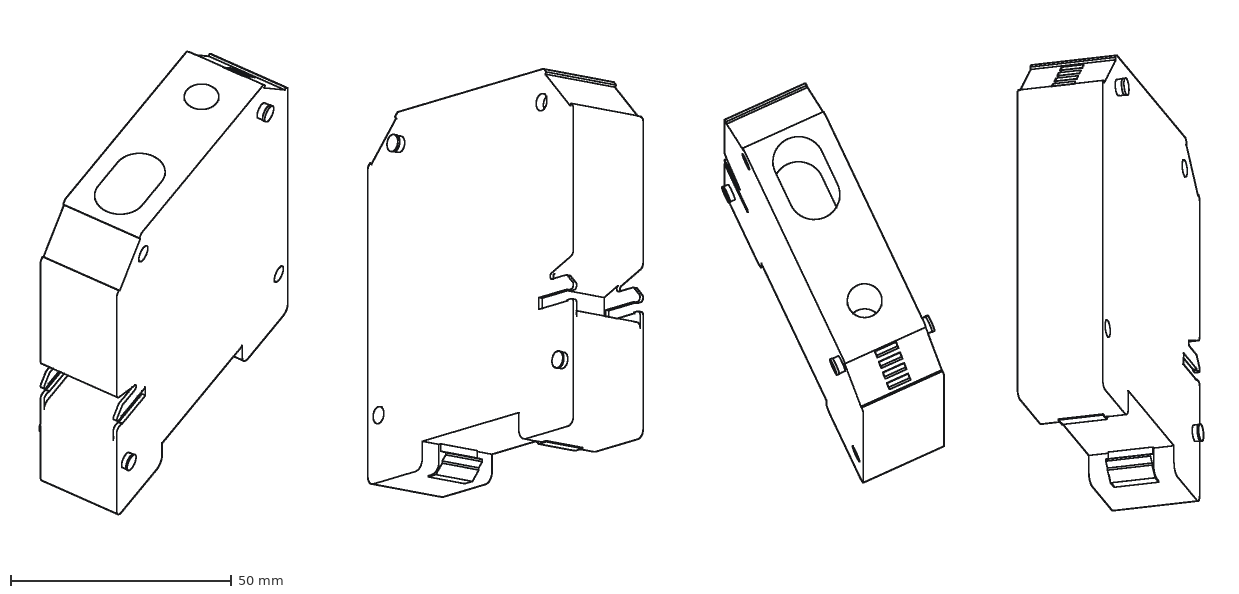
import cadquery as cq
import math

TOTAL_HEIGHT = 85.4
BLOCK_DEPTH = 75.0
BLOCK_WIDTH = 20.25
FOOT_DROP = 0.25
HALF_DEPTH = BLOCK_DEPTH / 2
HALF_WIDTH = BLOCK_WIDTH / 2

SHOULDER_LEG = 10.85
SHOULDER_TOP_ROUND = 0.7
SHOULDER_SIDE_ROUND = 1.0
PANEL_RECESS = 0.6
PANEL_TOP_LIP = 1.4
PANEL_BOTTOM_LIP = 1.2

GROOVE_COUNT = 4
GROOVE_LENGTH = 5.3
GROOVE_MOUTH = 1.8
GROOVE_DEPTH = 0.6
GROOVE_TAPER = 20
GROOVE_PITCH = 3.1
GROOVE_START = 1.0

RAIL_HALF_WIDTH = 17.6
RAIL_TOP = 6.8
RAIL_EDGE_ROUND = 2.6
BOTTOM_ROUND = 2.05

WEDGE_MOUTH_HEIGHT = 40.1
WEDGE_ANGLE = 20
WEDGE_DEPTH = 8.5
WEDGE_MOUTH_ROUND = 1.5
WEDGE_ROOT_ROUND = 0.7
FINGER_TOP = 35.7
FINGER_BEVEL = 2.4
FINGER_TIP_ROUND = 0.7
SLOT_TOP = 32.3
SLOT_BOTTOM = 29.6
SLOT_DEPTH = 12.6
SLOT_LIP = 0.25
SLOT_LIP_LENGTH = 2.2
SLOT_MOUTH_ROUND = 0.9
POCKET_WALL = 0.9
POCKET_FLOOR = 27.4
POCKET_DEPTH = 13.1
POCKET_FRONT_ROUND = 1.7

SCREW_HOLE_DIAMETER = 7.9
SCREW_HOLE_Y = 16.4
WIRE_SLOT_LENGTH = 20.1
WIRE_SLOT_WIDTH = 11.6
WIRE_SLOT_Y = -15.0
TOP_OPENING_DEPTH = 25.6

TOTAL_WIDTH = 24.4
PIN_DIAMETER = 3.9
PIN_NECK_DIAMETER = 3.8
UPPER_JOINT_Y = 25.9
UPPER_JOINT_Z = 77.75
LOWER_JOINT_Y = 33.6
LOWER_JOINT_Z = 16.0
UPPER_PIN_LENGTH = (TOTAL_WIDTH - BLOCK_WIDTH) / 2
UPPER_PIN_HEAD = 0.6
LOWER_PIN_LENGTH = 1.5
LOWER_PIN_HEAD = 0.3

FOOT_WIDTH = 10.6
FOOT_THICKNESS = 0.7
FOOT_HOOK_TOP = 5.1
FOOT_TIP_Y = 15.1
FOOT_TIP_TOP = 4.45
FOOT_TIP_BOTTOM = 3.9
FOOT_NECK_Y = 16.4
FOOT_NECK_TOP = 2.7
FOOT_NECK_BOTTOM = 2.2
FOOT_TOE_Y = 18.7
FOOT_END_Y = 21.5

EDGE_REACH = 0.04


def across_width(sketch, width):
    """Extrude a sketch on the YZ plane by a width centred on X = 0."""
    return sketch.extrude(width / 2, both=True)


def round_edges(body, y, z, radius):
    """Round the edges along X that pass through the point (y, z)."""
    low = (-BLOCK_WIDTH, y - EDGE_REACH, z - EDGE_REACH)
    high = (BLOCK_WIDTH, y + EDGE_REACH, z + EDGE_REACH)
    return body.edges("|X").edges(cq.selectors.BoxSelector(low, high)).fillet(radius)


def block():
    """Plain block with sloped shoulders and the rail slot, with rounded outer edges."""
    shoulder_y = HALF_DEPTH - SHOULDER_LEG
    shoulder_z = TOTAL_HEIGHT - SHOULDER_LEG
    half = [
        (RAIL_HALF_WIDTH, RAIL_TOP),
        (RAIL_HALF_WIDTH, FOOT_DROP),
        (HALF_DEPTH, FOOT_DROP),
        (HALF_DEPTH, shoulder_z),
        (shoulder_y, TOTAL_HEIGHT),
    ]
    other_half = [(-y, z) for y, z in reversed(half)]
    body = across_width(cq.Workplane("YZ").polyline(half + other_half).close(), BLOCK_WIDTH)
    for side in (1, -1):
        body = round_edges(body, side * RAIL_HALF_WIDTH, FOOT_DROP, RAIL_EDGE_ROUND)
        body = round_edges(body, side * HALF_DEPTH, FOOT_DROP, BOTTOM_ROUND)
        body = round_edges(body, side * HALF_DEPTH, shoulder_z, SHOULDER_SIDE_ROUND)
        body = round_edges(body, side * shoulder_y, TOTAL_HEIGHT, SHOULDER_TOP_ROUND)
    return body


def slope_plane():
    """Plane across the +Y slope: local x points out of the slope, local y up the slope."""
    return cq.Plane(
        origin=(0, HALF_DEPTH, TOTAL_HEIGHT - SHOULDER_LEG),
        xDir=(0, 1, 1),
        normal=(1, 0, 0),
    )


def panel_recess():
    """Shallow recess over the full width of the +Y slope, between the two lips."""
    slope_length = SHOULDER_LEG * math.sqrt(2)
    outline = [
        (-PANEL_RECESS, PANEL_BOTTOM_LIP),
        (PANEL_RECESS, PANEL_BOTTOM_LIP),
        (PANEL_RECESS, slope_length - PANEL_TOP_LIP),
        (-PANEL_RECESS, slope_length - PANEL_TOP_LIP),
    ]
    return across_width(cq.Workplane(slope_plane()).polyline(outline).close(), BLOCK_WIDTH)


def finger_groove(index):
    """One tapered groove in the recessed +Y slope, counted from the lower lip."""
    narrowing = GROOVE_DEPTH * math.tan(math.radians(GROOVE_TAPER))
    bottom = -PANEL_RECESS - GROOVE_DEPTH
    start = PANEL_BOTTOM_LIP + GROOVE_START + index * GROOVE_PITCH
    end = start + GROOVE_MOUTH
    outline = [
        (-PANEL_RECESS, start),
        (bottom, start + narrowing),
        (bottom, end - narrowing),
        (-PANEL_RECESS, end),
    ]
    return across_width(cq.Workplane(slope_plane()).polyline(outline).close(), GROOVE_LENGTH)


def wedge_drop(depth):
    """How far the wedge's sloping roof falls at a depth behind the -Y face."""
    return depth * math.tan(math.radians(WEDGE_ANGLE))


def wedge_cut():
    """Wedge-shaped opening above the finger, with a rounded root."""
    root_y = -HALF_DEPTH + WEDGE_DEPTH
    root_top = WEDGE_MOUTH_HEIGHT - wedge_drop(WEDGE_DEPTH)
    outline = [
        (-HALF_DEPTH, WEDGE_MOUTH_HEIGHT),
        (root_y, root_top),
        (root_y, FINGER_TOP),
        (-HALF_DEPTH + FINGER_BEVEL, FINGER_TOP),
        (-HALF_DEPTH, FINGER_TOP - FINGER_BEVEL),
    ]
    wedge = across_width(cq.Workplane("YZ").polyline(outline).close(), BLOCK_WIDTH)
    wedge = round_edges(wedge, root_y, root_top, WEDGE_ROOT_ROUND)
    return round_edges(wedge, root_y, FINGER_TOP, WEDGE_ROOT_ROUND)


def slot_cut():
    """Narrow slot below the finger, pinched by a lip above and below its mouth."""
    lip_y = -HALF_DEPTH + SLOT_LIP_LENGTH
    back_y = -HALF_DEPTH + SLOT_DEPTH
    outline = [
        (-HALF_DEPTH, SLOT_BOTTOM + SLOT_LIP),
        (lip_y, SLOT_BOTTOM + SLOT_LIP),
        (lip_y, SLOT_BOTTOM),
        (back_y, SLOT_BOTTOM),
        (back_y, SLOT_TOP),
        (lip_y, SLOT_TOP),
        (lip_y, SLOT_TOP - SLOT_LIP),
        (-HALF_DEPTH, SLOT_TOP - SLOT_LIP),
    ]
    return across_width(cq.Workplane("YZ").polyline(outline).close(), BLOCK_WIDTH)


def pocket_cut():
    """Pocket between the two thin side walls, under the wedge's continued roof."""
    back_y = -HALF_DEPTH + POCKET_DEPTH
    outline = [
        (-HALF_DEPTH, POCKET_FLOOR),
        (back_y, POCKET_FLOOR),
        (back_y, WEDGE_MOUTH_HEIGHT - wedge_drop(POCKET_DEPTH)),
        (-HALF_DEPTH, WEDGE_MOUTH_HEIGHT),
    ]
    pocket_width = BLOCK_WIDTH - 2 * POCKET_WALL
    return across_width(cq.Workplane("YZ").polyline(outline).close(), pocket_width)


def cut_marker_opening(body):
    """Cut the opening in the -Y side and round the edges around it."""
    body = body.cut(wedge_cut()).cut(slot_cut()).cut(pocket_cut())
    front_y = -HALF_DEPTH
    body = round_edges(body, front_y, WEDGE_MOUTH_HEIGHT, WEDGE_MOUTH_ROUND)
    body = round_edges(body, front_y, POCKET_FLOOR, POCKET_FRONT_ROUND)
    body = round_edges(body, front_y + FINGER_BEVEL, FINGER_TOP, FINGER_TIP_ROUND)
    body = round_edges(body, front_y, FINGER_TOP - FINGER_BEVEL, FINGER_TIP_ROUND)
    body = round_edges(body, front_y, SLOT_TOP - SLOT_LIP, SLOT_MOUTH_ROUND)
    return round_edges(body, front_y, SLOT_BOTTOM + SLOT_LIP, SLOT_MOUTH_ROUND)


def screw_hole():
    """Round blind hole in the top face."""
    mouth = cq.Workplane("XY", origin=(0, SCREW_HOLE_Y, TOTAL_HEIGHT))
    return mouth.circle(SCREW_HOLE_DIAMETER / 2).extrude(-TOP_OPENING_DEPTH)


def wire_slot():
    """Long blind wire entry in the top face."""
    mouth = cq.Workplane("XY", origin=(0, WIRE_SLOT_Y, TOTAL_HEIGHT))
    return mouth.slot2D(WIRE_SLOT_LENGTH, WIRE_SLOT_WIDTH, 90).extrude(-TOP_OPENING_DEPTH)


def cylinder_along_x(start_x, length, y, z, diameter):
    """Cylinder along X; a negative length runs towards -X."""
    plane = cq.Workplane("YZ", origin=(start_x, y, z))
    return plane.circle(diameter / 2).extrude(length)


def pin(side, y, z, length, head):
    """Headed pin standing out of one side face (side is +1 or -1)."""
    neck = cylinder_along_x(side * HALF_WIDTH, side * length, y, z, PIN_NECK_DIAMETER)
    head_start = side * (HALF_WIDTH + length - head)
    return neck.union(cylinder_along_x(head_start, side * head, y, z, PIN_DIAMETER))


def housing():
    """Terminal block housing, with its pins and pin holes."""
    body = block()
    recess = panel_recess()
    body = body.cut(recess).cut(recess.mirror("XZ"))
    for index in range(GROOVE_COUNT):
        body = body.cut(finger_groove(index))
    body = cut_marker_opening(body)
    body = body.cut(screw_hole()).cut(wire_slot())
    through_hole = cylinder_along_x(
        -HALF_WIDTH, BLOCK_WIDTH, LOWER_JOINT_Y, LOWER_JOINT_Z, PIN_DIAMETER
    )
    body = body.cut(through_hole)
    for side in (1, -1):
        blind_hole = cylinder_along_x(
            side * HALF_WIDTH, -side * UPPER_PIN_LENGTH, -UPPER_JOINT_Y, UPPER_JOINT_Z, PIN_DIAMETER
        )
        body = body.cut(blind_hole)
        body = body.union(pin(side, UPPER_JOINT_Y, UPPER_JOINT_Z, UPPER_PIN_LENGTH, UPPER_PIN_HEAD))
        body = body.union(pin(side, -LOWER_JOINT_Y, LOWER_JOINT_Z, LOWER_PIN_LENGTH, LOWER_PIN_HEAD))
    return body


def rail_foot():
    """Hooked foot on the +Y wall of the rail slot, wrapped around the wall's rounded lower edge."""
    face_y = RAIL_HALF_WIDTH - FOOT_THICKNESS
    round_y = RAIL_HALF_WIDTH + RAIL_EDGE_ROUND
    round_z = FOOT_DROP + RAIL_EDGE_ROUND
    arc_mid = RAIL_EDGE_ROUND * math.sqrt(0.5)
    outline = (
        cq.Workplane("YZ")
        .moveTo(RAIL_HALF_WIDTH, RAIL_TOP)
        .lineTo(face_y, RAIL_TOP)
        .lineTo(face_y, FOOT_HOOK_TOP)
        .lineTo(FOOT_TIP_Y, FOOT_TIP_TOP)
        .lineTo(FOOT_TIP_Y, FOOT_TIP_BOTTOM)
        .lineTo(FOOT_NECK_Y, FOOT_NECK_TOP)
        .lineTo(FOOT_NECK_Y, FOOT_NECK_BOTTOM)
        .lineTo(FOOT_TOE_Y, 0)
        .lineTo(FOOT_END_Y, 0)
        .lineTo(FOOT_END_Y, FOOT_DROP)
        .lineTo(round_y, FOOT_DROP)
        .threePointArc((round_y - arc_mid, round_z - arc_mid), (RAIL_HALF_WIDTH, round_z))
        .close()
    )
    return across_width(outline, FOOT_WIDTH)


feet = []
for turn in (0, 180):
    foot = rail_foot().rotate((0, 0, 0), (0, 0, 1), turn)
    feet.append(foot.val())

result = cq.Compound.makeCompound([housing().val(), *feet])